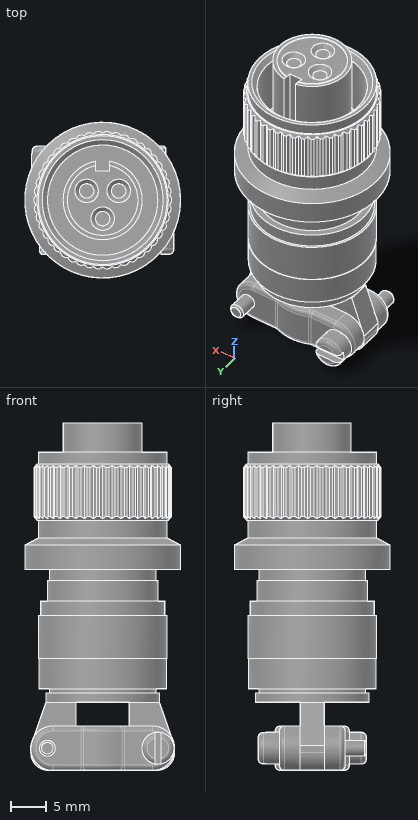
import cadquery as cq
import math


total_height = 49.66
coupling_top = 45.47
knurl_top = 43.80
knurl_bottom = 35.73
cone_top = 33.22
flange_top = 32.18
flange_bottom = 28.68
neck_bottom = 27.10
collar_bottom = 24.20
ring_bottom = 22.14
shell_joint = 15.98
shell_bottom = 11.65
foot_top = 11.08
foot_bottom = 9.71

insert_diameter = 11.29
coupling_diameter = 18.41
knurl_diameter = 19.66
knurl_end_diameter = 18.76
flange_diameter = 22.28
neck_diameter = 15.24
collar_diameter = 15.82
ring_diameter = 17.78
lower_shell_diameter = 18.29
foot_diameter = 16.26

cavity_diameter = 15.75
cavity_mouth_diameter = 17.27
cavity_floor = knurl_bottom

knurl_grooves = 46
knurl_chamfer_height = 0.55
groove_width = 0.95
groove_depth = 0.25

face_recess_diameter = 10.07
face_recess_depth = 0.1
keyway_width = 2.0
keyway_floor_y = 8.26 / 2
contact_circle_radius = 2.64
contact_angles = (30, 150, 270)
contact_mouth_diameter = 3.35
contact_floor_diameter = 2.05
contact_depth = (contact_mouth_diameter - contact_floor_diameter) / 2

leg_thickness = 3.47
leg_inner_x = 3.78
leg_outer_x = 10.28
leg_corner_radius = 2.57
leg_taper_bottom = 3.55

clamp_height = 6.36
clamp_half_length = 10.28
clamp_face_y = 4.70
clamp_bulge_y = 5.32
bulge_half_width = 2.92
bulge_blend_radius = 1.0
clamp_edge_radius = 0.75
select_margin = 0.1

screw_x = 7.90
screw_z = clamp_height / 2
screw_tip_y = 7.74
screw_head_diameter = 4.57
screw_head_edge_radius = 0.75
screw_shank_diameter = 2.26
screw_tip_chamfer = 0.3
screw_slot_depth = 1.1
front_slot_width = 0.84
rear_slot_width = 1.35


def make_turned_body():
    """Coupling ring, flange, shell and foot, turned around the Z axis, without the knurl grooves."""
    chamfer_top = knurl_top - knurl_chamfer_height
    chamfer_bottom = knurl_bottom + knurl_chamfer_height
    steps = [
        (foot_diameter, foot_bottom),
        (foot_diameter, foot_top),
        (neck_diameter, foot_top),
        (neck_diameter, shell_bottom),
        (lower_shell_diameter, shell_bottom),
        (lower_shell_diameter, shell_joint),
        (coupling_diameter, shell_joint),
        (coupling_diameter, ring_bottom),
        (ring_diameter, ring_bottom),
        (ring_diameter, collar_bottom),
        (collar_diameter, collar_bottom),
        (collar_diameter, neck_bottom),
        (neck_diameter, neck_bottom),
        (neck_diameter, flange_bottom),
        (flange_diameter, flange_bottom),
        (flange_diameter, flange_top),
        (coupling_diameter, cone_top),
        (coupling_diameter, knurl_bottom),
        (knurl_end_diameter, knurl_bottom),
        (knurl_diameter, chamfer_bottom),
        (knurl_diameter, chamfer_top),
        (knurl_end_diameter, knurl_top),
        (coupling_diameter, knurl_top),
        (coupling_diameter, coupling_top),
        (cavity_mouth_diameter, coupling_top),
        (cavity_diameter, coupling_top - (cavity_mouth_diameter - cavity_diameter) / 2),
        (cavity_diameter, cavity_floor),
        (insert_diameter, cavity_floor),
        (insert_diameter, total_height),
        (0, total_height),
    ]
    outline = cq.Workplane("XZ").moveTo(0, foot_bottom)
    for diameter, height in steps:
        outline = outline.lineTo(diameter / 2, height)
    return outline.close().revolve(360, (0, 0, 0), (0, 1, 0))


def make_knurl_grooves():
    """V grooves evenly spaced around the coupling ring, the first one facing -Y."""
    outer = knurl_diameter / 2
    groove = (
        cq.Workplane("XY")
        .workplane(offset=knurl_bottom)
        .polyline([
            (0, groove_depth - outer),
            (groove_width, -outer - groove_depth),
            (-groove_width, -outer - groove_depth),
        ])
        .close()
        .extrude(knurl_top - knurl_bottom)
    )
    grooves = cq.Workplane("XY")
    for index in range(knurl_grooves):
        grooves = grooves.add(groove.rotate((0, 0, 0), (0, 0, 1), index * 360 / knurl_grooves))
    return grooves.combine()


def make_insert_cuts():
    """Shallow face recess, keyway on the +Y side and three conical contact openings."""
    face_height = total_height - face_recess_depth
    cuts = (
        cq.Workplane("XY")
        .workplane(offset=face_height)
        .circle(face_recess_diameter / 2)
        .extrude(face_recess_depth)
    )
    keyway_depth = insert_diameter / 2 - keyway_floor_y
    cuts = cuts.union(
        cq.Workplane("XY")
        .box(keyway_width, keyway_depth, total_height - cavity_floor, centered=(True, False, False))
        .translate((0, keyway_floor_y, cavity_floor))
    )
    for angle in contact_angles:
        x = contact_circle_radius * math.cos(math.radians(angle))
        y = contact_circle_radius * math.sin(math.radians(angle))
        opening = cq.Solid.makeCone(
            contact_floor_diameter / 2,
            contact_mouth_diameter / 2,
            contact_depth,
            cq.Vector(x, y, face_height - contact_depth),
        )
        cuts = cuts.union(cq.Workplane(obj=opening))
    return cuts


def make_leg():
    """Tapered leg on the +X side, from the foot down to the clamp."""
    corner_x = leg_outer_x - leg_corner_radius
    diagonal = leg_corner_radius * math.sqrt(0.5)
    return (
        cq.Workplane("XZ")
        .moveTo(leg_inner_x, 0)
        .lineTo(corner_x, 0)
        .threePointArc((corner_x + diagonal, leg_corner_radius - diagonal), (leg_outer_x, leg_corner_radius))
        .lineTo(leg_outer_x, leg_taper_bottom)
        .lineTo(foot_diameter / 2, foot_bottom)
        .lineTo(leg_inner_x, foot_bottom)
        .close()
        .extrude(leg_thickness / 2, both=True)
    )


def make_clamp_half():
    """Clamp bar on the -Y side: round ends, bulged middle and rounded outer edges."""
    inner_y = leg_thickness / 2
    bar = (
        cq.Workplane("XY")
        .moveTo(-clamp_half_length, -inner_y)
        .lineTo(-clamp_half_length, -clamp_face_y)
        .lineTo(-bulge_half_width, -clamp_face_y)
        .threePointArc((0, -clamp_bulge_y), (bulge_half_width, -clamp_face_y))
        .lineTo(clamp_half_length, -clamp_face_y)
        .lineTo(clamp_half_length, -inner_y)
        .close()
        .extrude(clamp_height)
    )
    blend_zone = cq.selectors.BoxSelector(
        (-bulge_half_width - select_margin, -clamp_face_y - select_margin, 0),
        (bulge_half_width + select_margin, -clamp_face_y + select_margin, clamp_height),
    )
    bar = bar.edges("|Z").edges(blend_zone).fillet(bulge_blend_radius)
    envelope = (
        cq.Workplane("XZ")
        .center(0, clamp_height / 2)
        .slot2D(2 * clamp_half_length, clamp_height)
        .extrude(clamp_bulge_y + select_margin)
    )
    bar = bar.intersect(envelope)
    return bar.faces("<Y").edges().fillet(clamp_edge_radius)


def make_screw(slot_width):
    """Screw along Y with its head at -Y and its slot along Z, centred on the Y axis."""
    head_height = screw_tip_y - clamp_face_y
    head = (
        cq.Workplane("XZ", origin=(0, -clamp_face_y, 0))
        .circle(screw_head_diameter / 2)
        .extrude(head_height)
        .faces("<Y")
        .edges()
        .fillet(screw_head_edge_radius)
    )
    slot = (
        cq.Workplane("XY")
        .box(slot_width, screw_slot_depth, screw_head_diameter)
        .translate((0, screw_slot_depth / 2 - screw_tip_y, 0))
    )
    shank = (
        cq.Workplane("XZ", origin=(0, screw_tip_y, 0))
        .circle(screw_shank_diameter / 2)
        .extrude(screw_tip_y + clamp_face_y)
        .faces(">Y")
        .chamfer(screw_tip_chamfer)
    )
    return head.cut(slot).union(shank)


def make_clamp():
    """Both legs, both clamp bars and the two screws, which point in opposite directions."""
    leg = make_leg()
    bar = make_clamp_half()
    front_screw = make_screw(front_slot_width).translate((screw_x, 0, screw_z))
    rear_screw = (
        make_screw(rear_slot_width)
        .rotate((0, 0, 0), (0, 1, 0), 90)
        .rotate((0, 0, 0), (0, 0, 1), 180)
        .translate((-screw_x, 0, screw_z))
    )
    clamp = leg.union(leg.mirror("YZ"))
    clamp = clamp.union(bar).union(bar.mirror("XZ"))
    return clamp.union(front_screw).union(rear_screw)


body = make_turned_body().cut(make_knurl_grooves()).cut(make_insert_cuts())
result = body.union(make_clamp())